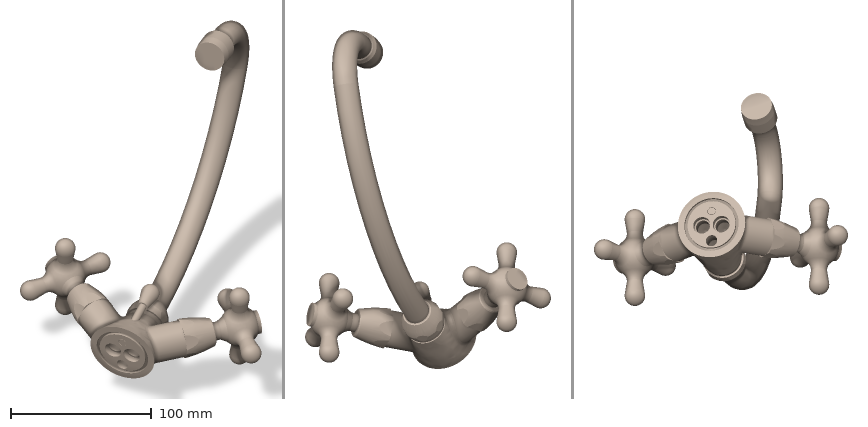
import cadquery as cq
import math

UP = cq.Vector(0, 0, 1)
FORWARD = cq.Vector(0, 1, 0)

plate_radius = 24.5
plate_z = 2.0
body_length = 39.3
body_end_radius = 14.2
spout_z = -9.1
groove_outer_radius = 19.6
groove_inner_radius = 17.4
groove_depth = 2.0

inlet_radius = 6.2
inlet_bore_radius = 5.0
inlet_step_depth = 4.5
inlet_depth = 11.5
inlet_x = 7.0
inlet_z = 1.8
screw_hole_radius = 4.0
screw_hole_depth = 11.5
screw_hole_z = -10.0
drill_point_angle = 118

collar_radius = 13.5
nut_start = 43.2
nut_start_radius = 14.8
nut_ridge = 48.5
nut_ridge_radius = 15.5
nut_shoulder = 55.0
nut_shoulder_radius = 13.2
nut_end = 59.4
nut_end_radius = 10.5
nut_flat_distance = 14.8

overall_length = 228.3
spout_radius = 9.0
spout_bend_start = 62.5
tight_bend_radius = 33.8
tight_bend_z = 104.3
outlet_angle = 15
outlet_length = 28.0
sleeve_length = 19.6
sleeve_radius = 11.9
sleeve_inner_radius = 10.0
sleeve_chamfer_length = 2.3
sleeve_tip_length = 6.8
sleeve_tip_radius = 11.2

handle_x = 66.7
handle_y = 57.5
valve_angle = 38.8
valve_radius = 13.2
valve_length = 73.0
valve_fillet = 3.0
valve_joint_start = 4.5
valve_joint_end = 32.0
bonnet_top = 20.0
bonnet_top_radius = 10.3
bonnet_middle = 33.8
bonnet_bottom = 43.4
bonnet_bottom_radius = 14.4
bonnet_chamfer = 0.7
stem_radius = 6.6

hub_radius = 14.4
cap_radius = 8.5
cap_top = 14.2
boss_root_radius = 9.1
boss_length = 15.5
arm_reach = 35.8
arm_ball_radius = 7.3
arm_neck_distance = 18.0
arm_neck_radius = 5.7

rod_z = 12.0
rod_radius = 2.7
rod_clearance = 0.2
knob_start = 38.8
knob_collar_radius = 3.9
knob_collar_length = 1.4
knob_ball_radius = 6.6
knob_end = 59.8

HEX_SIDES = 6
DIAGONAL = math.sqrt(0.5)


def plane_along(origin, axis, radial):
    """Plane whose local X is the radial direction and whose local Y is the axis."""
    return cq.Plane(origin=origin, xDir=radial, normal=radial.cross(axis))


def turned(profile):
    """Solid of revolution of a closed profile around its local Y axis."""
    return profile.close().revolve(360, (0, 0, 0), (0, 1, 0))


def ball_tangent(radius, ball_centre, point_radius, point_distance):
    """Radius and distance of the place where a line from the given point touches a ball on the axis."""
    gap = ball_centre - point_distance
    span = math.hypot(point_radius, gap)
    reach = math.sqrt(span**2 - radius**2)
    angle = math.atan2(gap, -point_radius) - math.asin(radius / span)
    return point_radius + reach * math.cos(angle), point_distance + reach * math.sin(angle)


def hex_outside(plane, start, end, flat_distance, clear_radius):
    """Material outside a hexagon with one side square to the radial direction."""
    base = cq.Workplane(
        cq.Plane(origin=plane.toWorldCoords((0, start, 0)), xDir=plane.zDir, normal=plane.yDir)
    )
    length = end - start
    hexagon = base.polygon(HEX_SIDES, 2 * flat_distance / math.cos(math.pi / HEX_SIDES)).extrude(length)
    return base.circle(clear_radius).extrude(length).cut(hexagon)


def tapered_body():
    return (
        cq.Workplane("XZ")
        .center(0, plate_z)
        .circle(plate_radius)
        .workplane(offset=-body_length)
        .center(0, spout_z - plate_z)
        .circle(body_end_radius)
        .loft(ruled=True)
    )


def spout_nut():
    plane = plane_along(cq.Vector(0, 0, spout_z), FORWARD, UP)
    nut = turned(
        cq.Workplane(plane)
        .moveTo(0, body_length)
        .lineTo(collar_radius, body_length)
        .lineTo(collar_radius, nut_start)
        .lineTo(nut_start_radius, nut_start)
        .lineTo(nut_ridge_radius, nut_ridge)
        .threePointArc((nut_shoulder_radius, nut_shoulder), (nut_end_radius, nut_end))
        .lineTo(0, nut_end)
    )
    return nut.cut(hex_outside(plane, nut_start, nut_end, nut_flat_distance, 2 * nut_ridge_radius))


def spout():
    tight_y = overall_length - spout_radius - tight_bend_radius
    run = tight_y - spout_bend_start
    rise = tight_bend_z - spout_z
    wide_bend_radius = (run**2 + rise**2 - tight_bend_radius**2) / (2 * (rise - tight_bend_radius))
    wide_z = spout_z + wide_bend_radius
    joint_angle = math.atan2(tight_bend_z - wide_z, run)
    end_angle = math.radians(90 - outlet_angle)

    def on_wide(angle):
        return (
            spout_bend_start + wide_bend_radius * math.cos(angle),
            wide_z + wide_bend_radius * math.sin(angle),
        )

    def on_tight(angle):
        return (
            tight_y + tight_bend_radius * math.cos(angle),
            tight_bend_z + tight_bend_radius * math.sin(angle),
        )

    bend_end = on_tight(end_angle)
    outward = (-math.sin(end_angle), math.cos(end_angle))
    straight_length = outlet_length - sleeve_length
    sleeve_start = (
        bend_end[0] + straight_length * outward[0],
        bend_end[1] + straight_length * outward[1],
    )
    path = (
        cq.Workplane("YZ")
        .moveTo(nut_end, spout_z)
        .lineTo(spout_bend_start, spout_z)
        .threePointArc(on_wide((joint_angle - math.pi / 2) / 2), on_wide(joint_angle))
        .threePointArc(on_tight((joint_angle + end_angle) / 2), bend_end)
        .lineTo(*sleeve_start)
    )
    tube = cq.Workplane("XZ", origin=(0, nut_end, spout_z)).circle(spout_radius).sweep(path)

    axis = cq.Vector(0, *outward)
    sleeve = turned(
        cq.Workplane(plane_along(cq.Vector(0, *sleeve_start), axis, cq.Vector(1, 0, 0)))
        .lineTo(sleeve_inner_radius, 0)
        .lineTo(sleeve_radius, sleeve_chamfer_length)
        .lineTo(sleeve_radius, sleeve_length - sleeve_tip_length)
        .lineTo(sleeve_tip_radius, sleeve_length)
        .lineTo(0, sleeve_length)
    )
    return tube.union(sleeve)


def handle_centre():
    return cq.Vector(handle_x, handle_y, 0)


def valve_axis():
    angle = math.radians(valve_angle)
    return cq.Vector(math.cos(angle), math.sin(angle), 0)


def valve_barrel():
    start = handle_centre() - valve_axis() * valve_length
    plane = cq.Plane(origin=start, xDir=UP, normal=valve_axis())
    return cq.Workplane(plane).circle(valve_radius).extrude(valve_length - bonnet_bottom)


def valve_bonnet():
    plane = plane_along(handle_centre(), -valve_axis(), UP)
    bonnet = turned(
        cq.Workplane(plane)
        .moveTo(0, bonnet_top)
        .lineTo(bonnet_top_radius - bonnet_chamfer, bonnet_top)
        .lineTo(bonnet_top_radius, bonnet_top + bonnet_chamfer)
        .threePointArc((valve_radius, bonnet_middle), (bonnet_bottom_radius, bonnet_bottom))
        .lineTo(0, bonnet_bottom)
    )
    flats = hex_outside(plane, bonnet_top, bonnet_bottom, valve_radius, 2 * bonnet_bottom_radius)
    return bonnet.cut(flats)


def handle_arm(direction, radial):
    ball_centre = arm_reach - arm_ball_radius
    flare_radius = (arm_neck_radius**2 + arm_neck_distance**2 - hub_radius**2) / (
        2 * (hub_radius - arm_neck_radius)
    )
    share = hub_radius / (hub_radius + flare_radius)
    flare_foot = ((arm_neck_radius + flare_radius) * share, arm_neck_distance * share)
    foot_angle = math.atan2(arm_neck_distance, arm_neck_radius + flare_radius)
    flare_middle = (
        arm_neck_radius + flare_radius * (1 - math.cos(foot_angle / 2)),
        arm_neck_distance - flare_radius * math.sin(foot_angle / 2),
    )
    ball_edge = ball_tangent(arm_ball_radius, ball_centre, arm_neck_radius, arm_neck_distance)
    return turned(
        cq.Workplane(plane_along(handle_centre(), direction, radial))
        .moveTo(0, arm_reach)
        .threePointArc(
            (arm_ball_radius * DIAGONAL, ball_centre + arm_ball_radius * DIAGONAL),
            ball_edge,
        )
        .lineTo(arm_neck_radius, arm_neck_distance)
        .threePointArc(flare_middle, flare_foot)
        .lineTo(0, 0)
    )


def cross_handle():
    axis = valve_axis()
    sideways = axis.cross(UP)
    hub = turned(
        cq.Workplane(plane_along(handle_centre(), axis, UP))
        .moveTo(0, -bonnet_top)
        .lineTo(stem_radius, -bonnet_top)
        .lineTo(stem_radius, -boss_length)
        .lineTo(boss_root_radius, -math.sqrt(hub_radius**2 - boss_root_radius**2))
        .threePointArc((hub_radius, 0), (cap_radius, math.sqrt(hub_radius**2 - cap_radius**2)))
        .lineTo(cap_radius, cap_top)
        .lineTo(0, cap_top)
    )
    for direction in (UP, -UP, sideways, -sideways):
        hub = hub.union(handle_arm(direction, axis))
    return hub


def drilled_hole(x, z, radius, depth):
    """Blind hole with a drill point, bored forward from the plate."""
    point_length = radius / math.tan(math.radians(drill_point_angle / 2))
    return turned(
        cq.Workplane(plane_along(cq.Vector(x, 0, z), FORWARD, UP))
        .lineTo(radius, 0)
        .lineTo(radius, depth)
        .lineTo(0, depth + point_length)
    )


def straight_hole(x, z, radius, depth):
    """Cylinder that reaches forward from the plate."""
    return cq.Workplane("XZ", origin=(x, 0, z)).circle(radius).extrude(-depth)


def joined_both_sides(body, right_part):
    """Body joined with a right-hand part and its mirror image on the left."""
    return body.union(right_part).union(right_part.mirror("YZ"))


def body_with_barrels():
    """Tapered body with the two valve barrels blended into it."""
    body = joined_both_sides(tapered_body(), valve_barrel())
    joint_zone = cq.selectors.BoxSelector(
        (-plate_radius, valve_joint_start, -plate_radius),
        (plate_radius, valve_joint_end, plate_radius),
    )
    return body.edges("%BSPLINE").edges(joint_zone).fillet(valve_fillet)


def plate_groove():
    outer = straight_hole(0, plate_z, groove_outer_radius, groove_depth)
    return outer.cut(straight_hole(0, plate_z, groove_inner_radius, groove_depth))


def inlet_hole(x):
    step = straight_hole(x, inlet_z, inlet_radius, inlet_step_depth)
    return step.union(drilled_hole(x, inlet_z, inlet_bore_radius, inlet_depth))


def mixer_body():
    """Body, valves, handles and spout in one piece, with the openings of the wall plate."""
    body = joined_both_sides(body_with_barrels(), valve_bonnet())
    body = joined_both_sides(body, cross_handle())
    body = body.union(spout_nut()).union(spout())
    body = body.cut(plate_groove())
    for x in (-inlet_x, inlet_x):
        body = body.cut(inlet_hole(x))
    body = body.cut(drilled_hole(0, screw_hole_z, screw_hole_radius, screw_hole_depth))
    return body.cut(straight_hole(0, rod_z, rod_radius + rod_clearance, knob_start))


def diverter_rod():
    collar_end = knob_start + knob_collar_length
    ball_centre = knob_end - knob_ball_radius
    ball_edge = ball_tangent(knob_ball_radius, ball_centre, knob_collar_radius, collar_end)
    return turned(
        cq.Workplane(plane_along(cq.Vector(0, 0, rod_z), FORWARD, UP))
        .lineTo(rod_radius, 0)
        .lineTo(rod_radius, knob_start)
        .lineTo(knob_collar_radius, knob_start)
        .lineTo(knob_collar_radius, collar_end)
        .lineTo(*ball_edge)
        .threePointArc(
            (knob_ball_radius * DIAGONAL, ball_centre + knob_ball_radius * DIAGONAL),
            (0, knob_end),
        )
    )


mixer = mixer_body()
rod = diverter_rod()
result = cq.Compound.makeCompound([mixer.solids().val(), rod.val()])